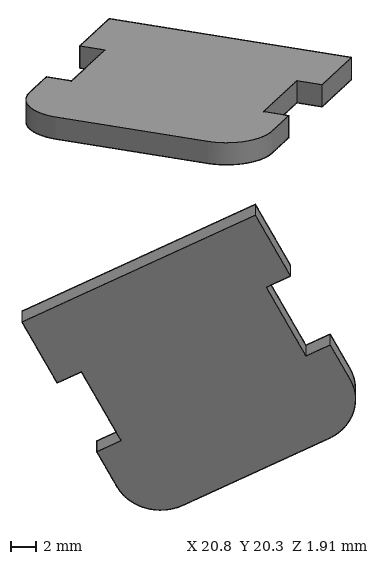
import cadquery as cq

width = 20.78
length = 20.32
thickness = 1.905

corner_radius = 3.9

notch_depth = 2.16
notch_length = 6.86
rear_tab_length = 6.1

notch_center_y = length / 2 - rear_tab_length - notch_length / 2


def make_plate():
    """Flat plate with its two front vertical edges rounded."""
    plate = cq.Workplane("XY").box(width, length, thickness)
    return plate.faces("<Y").edges("|Z").fillet(corner_radius)


def make_notch_cutters():
    """Two boxes centred on the side faces, each reaching one notch depth inward."""
    return (
        cq.Workplane("XY")
        .pushPoints([(side * width / 2, notch_center_y) for side in (-1, 1)])
        .box(2 * notch_depth, notch_length, 2 * thickness)
    )


result = make_plate().cut(make_notch_cutters())